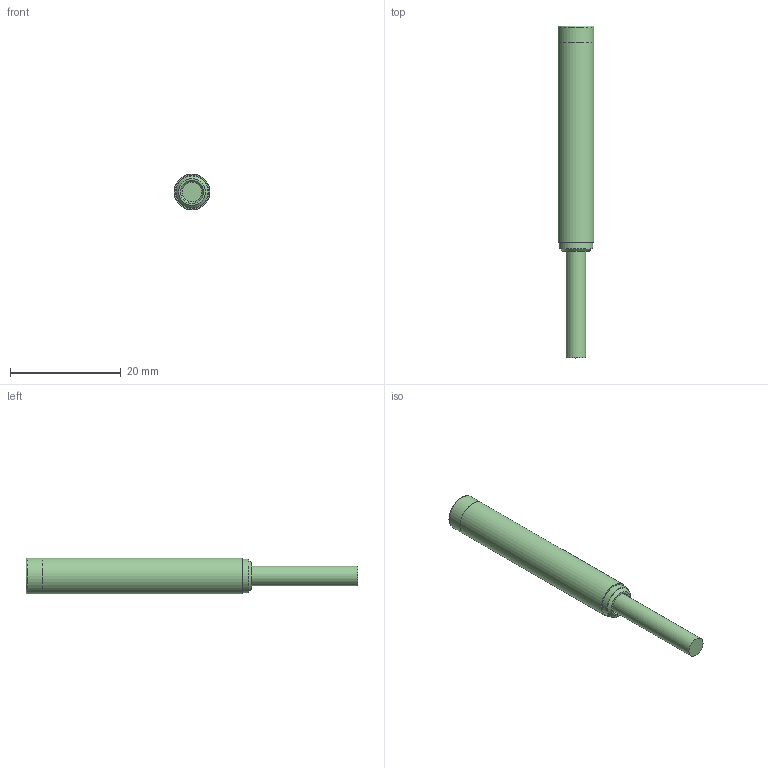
import cadquery as cq

total_length = 59.85
cable_dia = 3.6
cable_length = 19.2
body_dia = 6.48
cap_dia = 6.49
cap_length = 2.9
cap_edge_radius = 0.2
collar_dia = 6.05
collar_length = 1.7
nose_base_dia = 5.8
nose_tip_dia = 4.8
mouth_dia = 4.2
mouth_depth = 0.45

nose_length = (nose_base_dia - nose_tip_dia) / 2

cable_end_y = -total_length / 2
nose_tip_y = cable_end_y + cable_length
nose_base_y = nose_tip_y + nose_length
mouth_bottom_y = nose_tip_y + mouth_depth
body_start_y = nose_tip_y + collar_length
cap_end_y = total_length / 2
cap_start_y = cap_end_y - cap_length


def make_cylinder(diameter, start_y, end_y):
    """Cylinder on the Y axis between two stations."""
    return cq.Workplane("XZ", origin=(0, start_y, 0)).circle(diameter / 2).extrude(start_y - end_y)


def make_collar():
    """Stepped collar with a tapered nose and a flared mouth around the cable."""
    profile = [
        (0, body_start_y),
        (collar_dia / 2, body_start_y),
        (collar_dia / 2, nose_base_y),
        (nose_base_dia / 2, nose_base_y),
        (nose_tip_dia / 2, nose_tip_y),
        (mouth_dia / 2, nose_tip_y),
        (cable_dia / 2, mouth_bottom_y),
        (0, mouth_bottom_y),
    ]
    return cq.Workplane("XY").polyline(profile).close().revolve(360, (0, 0, 0), (0, 1, 0))


def make_cap():
    """End cap with a rounded outer edge."""
    return make_cylinder(cap_dia, cap_start_y, cap_end_y).faces(">Y").edges().fillet(cap_edge_radius)


cable = make_cylinder(cable_dia, cable_end_y, body_start_y)
body = make_cylinder(body_dia, body_start_y, cap_start_y)

result = body.union(make_collar()).union(cable).union(make_cap())